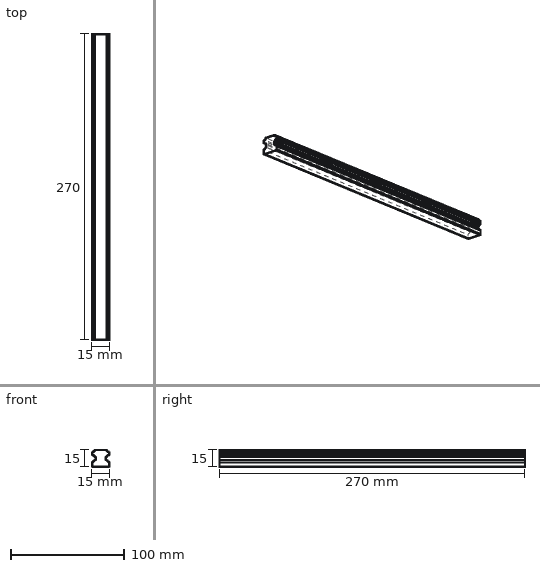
import cadquery as cq

length = 270.0
width = 15.0
height = 15.0

half_width = width / 2
top_half_width = 5.0
groove_lip_half_width = 6.8
relief_mouth_half_width = 5.0
neck_half_width = 4.5

base_chamfer = 0.5
base_side_height = 4.0

relief_bottom = 6.2
relief_top = 8.6

lobe_middle = 12.0
lobe_flat_half_height = 0.8
lobe_lip_half_height = 1.5
groove_half_height = height - lobe_middle
groove_inset = 0.3


def groove_middle(inner_half_width, side):
    """Middle point of the groove arc above (side=1) or below (side=-1) the lobe."""
    chord_x = (inner_half_width + groove_lip_half_width) / 2
    chord_offset = (groove_half_height + lobe_lip_half_height) / 2
    return (chord_x - groove_inset, lobe_middle + side * (chord_offset - groove_inset))


half_profile = (
    cq.Workplane("XZ", origin=(0, length / 2, 0))
    .lineTo(half_width - base_chamfer, 0)
    .lineTo(half_width, base_chamfer)
    .lineTo(half_width, base_side_height)
    .lineTo(relief_mouth_half_width, relief_bottom)
    .lineTo(neck_half_width, relief_bottom)
    .lineTo(neck_half_width, relief_top)
    .lineTo(relief_mouth_half_width, relief_top)
    .threePointArc(
        groove_middle(relief_mouth_half_width, -1),
        (groove_lip_half_width, lobe_middle - lobe_lip_half_height),
    )
    .lineTo(half_width, lobe_middle - lobe_flat_half_height)
    .lineTo(half_width, lobe_middle + lobe_flat_half_height)
    .lineTo(groove_lip_half_width, lobe_middle + lobe_lip_half_height)
    .threePointArc(groove_middle(top_half_width, 1), (top_half_width, height))
    .lineTo(0, height)
    .close()
)

half_rail = half_profile.extrude(length)
result = half_rail.union(half_rail.mirror("YZ")).clean()